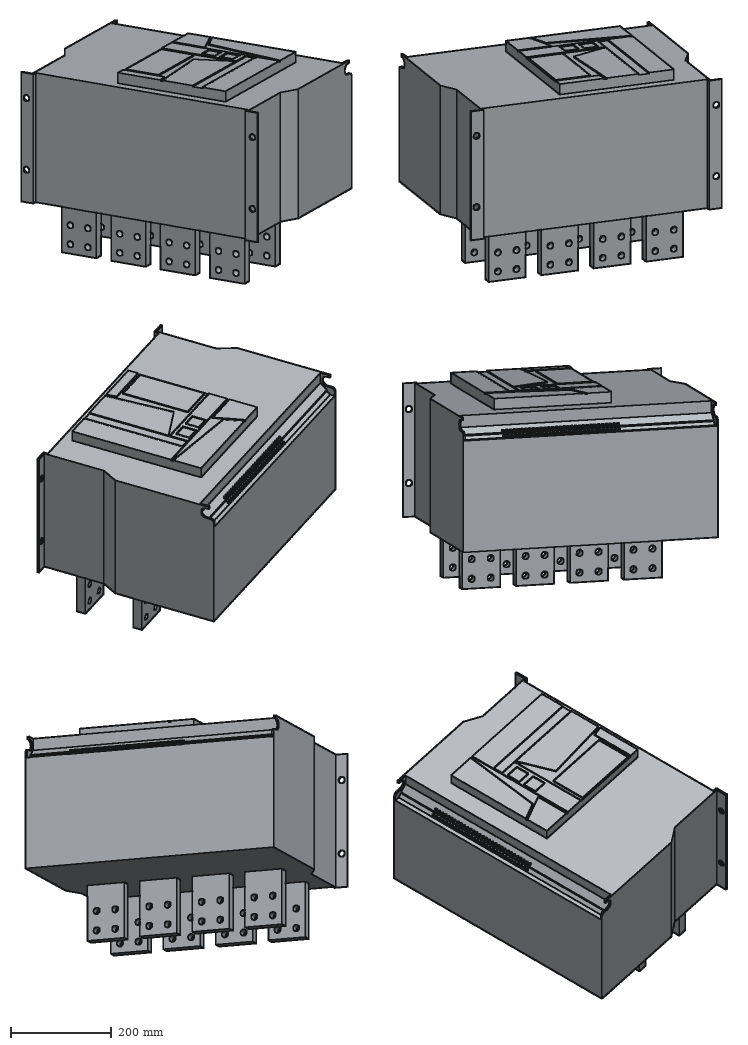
import cadquery as cq
import math

overall_width = 539.0
overall_depth = 394.0
overall_height = 407.0
sheet = 4.0

body_height = 271.5
body_front = 9.5
rear_width = 532.5
front_width = 491.5
taper_start = 137.0
taper_end = 173.0

flange_hole_x = 257.5
flange_hole_heights = (68.5, 219.0)
hole_diameter = 13.0

slot_radius = 11.5
slot_floor = 243.5
slot_center_y = 377.0
hook_end = 382.5
rear_corner_radius = 8.5

ledge_front = 361.5
terrace_split = 376.0
lip_front = 384.0
lip_height = 226.5
terrace_angle = 40.0
terrace_step = 2.5
terrace_slope = math.tan(math.radians(terrace_angle))
outer_terrace_top = lip_height + (lip_front - terrace_split) * terrace_slope
inner_terrace_base = outer_terrace_top + terrace_step
inner_terrace_top = inner_terrace_base + (terrace_split - ledge_front) * terrace_slope

vent_count = 31
vent_diameter = 5.0
vent_depth = 5.5
vent_row_centers = (372.5, 380.5)

busbar_length = 113.0
busbar_width = 79.0
busbar_thickness = 20.0
busbar_count = 4
busbar_pitch = 112.5
busbar_fronts = (56.5, 183.0)
busbar_hole_pitch = 40.0
busbar_end_margin = 20.0

panel_left = -66.5
panel_front = 32.0
panel_width = 245.0
panel_depth = 289.0
relief = 2.0
panel_top = overall_height - busbar_length
panel_floor = panel_top - relief

upper_tiles_front = 226.0
control_tile_rear = 221.5
control_tile_front = 180.0
strip_left = 170.5
strip_right = 192.0
strip_rear = 220.0
strip_corner_radius = 3.0
button_size = 29.5
button_left = 87.0
button_front = 188.0
button_pitch = 41.5
button_count = 2
label_left = 2.0
label_right = 77.0
label_front = 27.5
label_rear = 172.5


def block(x_range, y_range, z_range):
    """Axis-aligned box between pairs of limits."""
    sizes = [high - low for low, high in (x_range, y_range, z_range)]
    corner = (x_range[0], y_range[0], z_range[0])
    return cq.Workplane("XY").box(*sizes, centered=False).translate(corner)


def make_body():
    half_front = front_width / 2
    half_rear = rear_width / 2
    right_side = [
        (half_front, body_front),
        (half_front, taper_start),
        (half_rear, taper_end),
        (half_rear, overall_depth),
    ]
    left_side = [(-x, y) for x, y in reversed(right_side)]
    return cq.Workplane("XY").polyline(right_side + left_side).close().extrude(body_height)


def make_flange(side):
    """L-shaped sheet on one side (side = -1 or 1): a short leg and an outward flange."""
    outer = side * overall_width / 2
    leg_outer = side * front_width / 2
    leg_inner = leg_outer - side * sheet
    outline = [
        (leg_inner, 0),
        (outer, 0),
        (outer, sheet),
        (leg_outer, sheet),
        (leg_outer, body_front),
        (leg_inner, body_front),
    ]
    flange = cq.Workplane("XY").polyline(outline).close().extrude(body_height)
    for height in flange_hole_heights:
        hole = cq.Workplane("XZ", origin=(side * flange_hole_x, 0, height)).circle(hole_diameter / 2)
        flange = flange.cut(hole.extrude(-sheet))
    return flange


def make_hook_slot():
    """Open slot through the side plates that leaves a hook above it and a rounded corner below."""
    slot_roof = slot_floor + 2 * slot_radius
    corner_start = overall_depth - rear_corner_radius
    corner_middle = (
        corner_start + rear_corner_radius * math.sin(math.pi / 4),
        slot_floor - rear_corner_radius * (1 - math.cos(math.pi / 4)),
    )
    return (
        cq.Workplane("YZ", origin=(-overall_width / 2, 0, 0))
        .moveTo(slot_center_y, slot_floor)
        .lineTo(corner_start, slot_floor)
        .threePointArc(corner_middle, (overall_depth, slot_floor - rear_corner_radius))
        .lineTo(overall_depth, body_height)
        .lineTo(hook_end, body_height)
        .lineTo(hook_end, slot_roof)
        .lineTo(slot_center_y, slot_roof)
        .threePointArc((slot_center_y - slot_radius, slot_floor + slot_radius), (slot_center_y, slot_floor))
        .close()
        .extrude(overall_width)
    )


def make_ledge_cut():
    """Space above the two sloped terraces and the flat rear lip."""
    cut_width = rear_width - 2 * sheet
    outline = [
        (ledge_front, body_height),
        (ledge_front, inner_terrace_top),
        (terrace_split, inner_terrace_base),
        (terrace_split, outer_terrace_top),
        (lip_front, lip_height),
        (overall_depth, lip_height),
        (overall_depth, body_height),
    ]
    profile = cq.Workplane("YZ", origin=(-cut_width / 2, 0, 0)).polyline(outline).close()
    return profile.extrude(cut_width)


def make_vents():
    """Two rows of round holes square to the terraces, spread over the width of the control panel."""
    center_x = panel_left + panel_width / 2
    pitch = (panel_width - vent_diameter) / (vent_count - 1)
    terraces = ((terrace_split, inner_terrace_base), (lip_front, lip_height))
    vents = cq.Workplane("XY")
    for row_y, (terrace_rear, rear_height) in zip(vent_row_centers, terraces):
        row_z = rear_height + (terrace_rear - row_y) * terrace_slope
        row = (
            cq.Workplane("XY")
            .rarray(pitch, 5.5, vent_count, 1)
            .circle(vent_diameter / 2)
            .extrude(-vent_depth)
            .rotate((0, 0, 0), (1, 0, 0), -terrace_angle)
            .translate((center_x, row_y, row_z))
        )
        vents = vents.add(row.vals())
    return vents


def make_busbar(center_x, front):
    bar = block(
        (center_x - busbar_width / 2, center_x + busbar_width / 2),
        (front, front + busbar_thickness),
        (-busbar_length, 0),
    )
    holes_center = busbar_end_margin + busbar_hole_pitch / 2 - busbar_length
    holes = (
        cq.Workplane("XZ", origin=(center_x, front, holes_center))
        .rarray(busbar_hole_pitch, busbar_hole_pitch, 2, 2)
        .circle(hole_diameter / 2)
        .extrude(-busbar_thickness)
    )
    return bar.cut(holes)


def make_tile(outline):
    """Raised tile on the panel floor, outlined in panel coordinates."""
    origin = (panel_left, panel_front, panel_floor)
    return cq.Workplane("XY", origin=origin).polyline(outline).close().extrude(relief)


def make_panel():
    panel = block(
        (panel_left, panel_left + panel_width),
        (panel_front, panel_front + panel_depth),
        (body_height, panel_floor),
    )
    rear_left_tile = [
        (0, upper_tiles_front),
        (73.0, upper_tiles_front),
        (50.0, panel_depth),
        (0, panel_depth),
    ]
    rear_right_tile = [
        (54.0, panel_depth),
        (69.5, 248.0),
        (panel_width, upper_tiles_front),
        (panel_width, panel_depth),
    ]
    control_tile = [
        (0, control_tile_front),
        (strip_left, control_tile_front),
        (strip_left, 0),
        (panel_width, 0),
        (panel_width, control_tile_rear),
        (0, control_tile_rear),
    ]
    label_tile = [
        (label_left, label_front),
        (label_right, label_front),
        (label_right, label_rear),
        (label_left, label_rear),
    ]
    front_left_tile = [(0, 0), (97.0, 0), (93.0, 21.5), (0, 21.5)]
    front_middle_tile = [(101.0, 0), (strip_left, 0), (strip_left, 177.5), (90.0, 148.0)]
    tiles = (
        rear_left_tile,
        rear_right_tile,
        control_tile,
        label_tile,
        front_left_tile,
        front_middle_tile,
    )
    for outline in tiles:
        panel = panel.union(make_tile(outline))

    strip = block(
        (panel_left + strip_left, panel_left + strip_right),
        (panel_front, panel_front + strip_rear),
        (panel_floor, panel_top),
    )
    panel = panel.cut(strip.edges("|Z and >Y").fillet(strip_corner_radius))

    for index in range(button_count):
        left = panel_left + button_left + index * button_pitch
        front = panel_front + button_front
        recess = block((left, left + button_size), (front, front + button_size), (panel_floor, panel_top))
        panel = panel.cut(recess)
    return panel


result = make_body().cut(make_hook_slot()).cut(make_ledge_cut()).cut(make_vents())
for side in (-1, 1):
    result = result.union(make_flange(side))
for front in busbar_fronts:
    for index in range(busbar_count):
        center_x = (index - (busbar_count - 1) / 2) * busbar_pitch
        result = result.union(make_busbar(center_x, front))
result = result.union(make_panel())